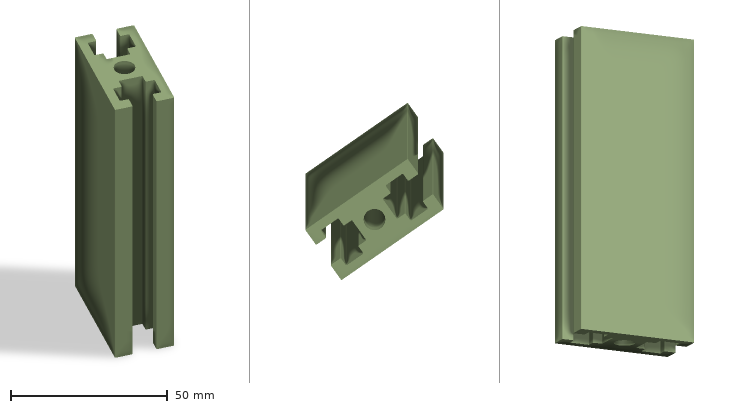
import cadquery as cq

width = 40.0
depth = 20.0
length = 100.0

slot_opening = 8.0
slot_depth = 14.0

lip_thickness = 4.0
pocket_width = 14.0
pocket_length = 6.8

bore_diameter = 6.9

corner_radius = 0.3


def make_bar(center_x, size_x, size_y):
    """Rectangular bar over the full length, standing on Z = 0 and centered on Y = 0."""
    return cq.Workplane("XY").center(center_x, 0).rect(size_x, size_y).extrude(length)


def make_slot(side):
    """T-slot cutter; side is -1 for the -X face and +1 for the +X face."""
    channel_center = side * (width - slot_depth) / 2
    pocket_center = side * (width / 2 - lip_thickness - pocket_length / 2)
    channel = make_bar(channel_center, slot_depth, slot_opening)
    pocket = make_bar(pocket_center, pocket_length, pocket_width)
    return channel.union(pocket)


profile = make_bar(0, width, depth)
for slot_side in (-1, 1):
    profile = profile.cut(make_slot(slot_side))
profile = profile.edges("|Z").fillet(corner_radius)

bore = cq.Workplane("XY").circle(bore_diameter / 2).extrude(length)

result = profile.cut(bore)